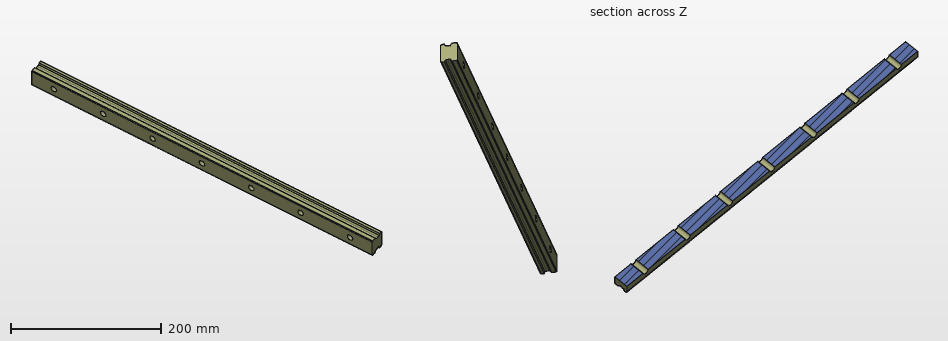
import cadquery as cq

LENGTH = 550.0
DEPTH = 23.0
HEIGHT = 28.0

WAIST_HEIGHT = 21.5
BASE_DEPTH = 7.0
WAIST_START = 10.0
WAIST_END = 14.0
LIP_START = 16.5
LIP_RISE = 0.5
HEAD_START = 17.5
HEAD_CHAMFER = 1.5
BASE_CHAMFER = 1.0

HOLE_COUNT = 7
HOLE_PITCH = 80.0
HOLE_DIAMETER = 9.0


def make_rail():
    """Extrude the symmetric cross-section along X, with the base on the -Y side."""
    half_height = HEIGHT / 2
    half_waist = WAIST_HEIGHT / 2
    upper_outline = [
        (0, half_height - BASE_CHAMFER),
        (BASE_CHAMFER, half_height),
        (BASE_DEPTH, half_height),
        (WAIST_START, half_waist),
        (WAIST_END, half_waist),
        (LIP_START, half_waist + LIP_RISE),
        (HEAD_START, half_height),
        (DEPTH, half_height),
    ]
    lower_outline = [(y, -z) for y, z in reversed(upper_outline)]
    section = cq.Workplane("YZ").polyline(upper_outline + lower_outline).close()
    rail = section.extrude(LENGTH / 2, both=True)
    rail = rail.faces(">Y").edges("|X").chamfer(HEAD_CHAMFER)
    return rail.translate((0, -DEPTH / 2, 0))


def make_mounting_holes():
    """Row of round cutters running right through the depth of the rail."""
    return (
        cq.Workplane("XZ")
        .rarray(HOLE_PITCH, 5.5, HOLE_COUNT, 1)
        .circle(HOLE_DIAMETER / 2)
        .extrude(DEPTH, both=True)
    )


result = make_rail().cut(make_mounting_holes())